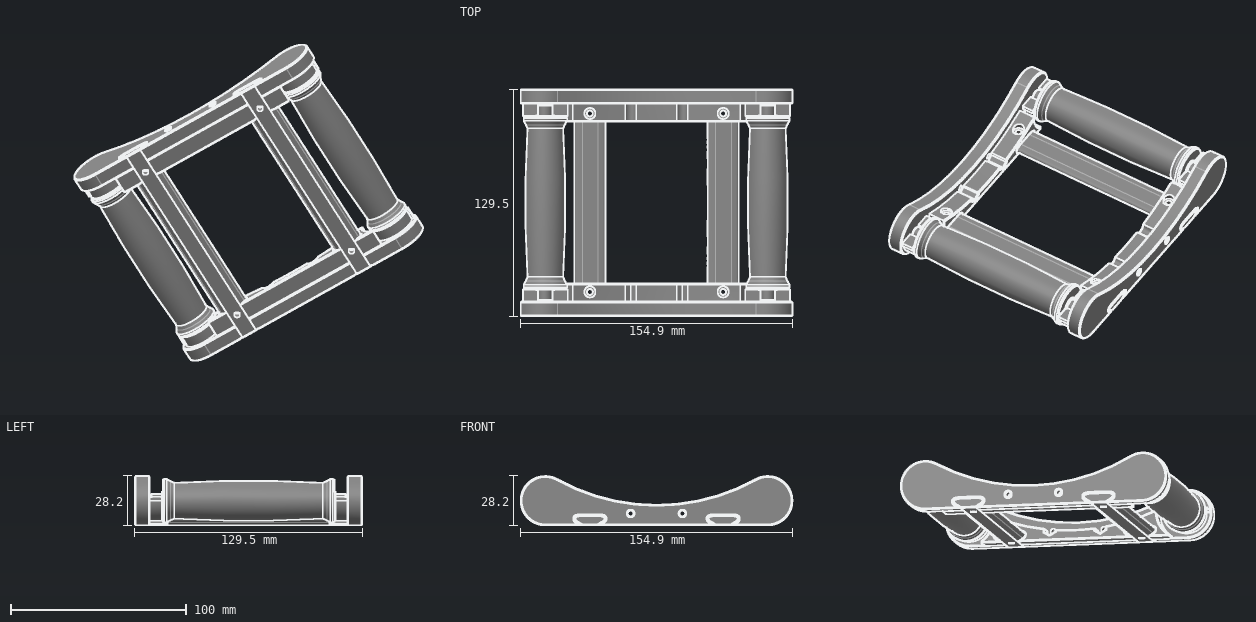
import cadquery as cq
import math

FRAME_LENGTH = 154.9
FRAME_WIDTH = 129.5
EDGE = 0.6
HALF_WIDTH = FRAME_WIDTH / 2

END_RADIUS = 14.1
RAIL_THICKNESS = 8.5
WAIST_HEIGHT = 11.8
RAIL_INSIDE = HALF_WIDTH - RAIL_THICKNESS
HANDLE_X = FRAME_LENGTH / 2 - END_RADIUS
HANDLE_Z = END_RADIUS

BACK_DROP = WAIST_HEIGHT - HANDLE_Z
BACK_RADIUS = (HANDLE_X**2 + BACK_DROP**2 - END_RADIUS**2) / (2 * (END_RADIUS - BACK_DROP))
BACK_CENTER_Z = WAIST_HEIGHT + BACK_RADIUS

LEDGE_DEPTH = 10.2
LEDGE_DROP = 6.2
LEDGE_RADIUS = BACK_RADIUS + LEDGE_DROP
LEDGE_INSIDE = RAIL_INSIDE - LEDGE_DEPTH
HANDLE_CLEARANCE_RADIUS = 15.6
LEDGE_HALF_LENGTH = HANDLE_X - 8.7

SUPPORT_INSIDE = 49.0
SUPPORT_DEPTH = RAIL_INSIDE - SUPPORT_INSIDE
SUPPORT_RADIUS = 11.5
SUPPORT_TOP_WIDTH = 25.4
SUPPORT_TOP_Z = 16.3
AXLE_SLOT_DIAMETER = 8.4
BOSS_SEAT_DIAMETER = 10.2
BOSS_SEAT_DEPTH = 0.8

CROSS_HOLE_X = 14.7
CROSS_HOLE_Z = 6.8
SCREW_DIAMETER = 3.3
HEAD_DIAMETER = 6.3

BAR_X = 38.0
BAR_HEIGHT = 5.9
BAR_FLAT_WIDTH = 9.0
BAR_FULL_WIDTH = 17.8
BAR_SIDE_Z = 3.5
BAR_TAPER_TOP_Z = 1.9
BAR_TAPER_INSET = 1.4
BAR_TAPER_SLOPE = 0.6
SCREW_Y = 50.8
HEAD_SEAT_Z = 9.3

AXLE_DIAMETER = 7.9
AXLE_HALF_LENGTH = 55.8

HANDLE_BOSS_DIAMETER = 10.0
HANDLE_BOSS_END = 49.5
HANDLE_END = SUPPORT_INSIDE
COLLAR_RADIUS = 12.4
COLLAR_FACE_RADIUS = 12.0
COLLAR_RIM_OUTSIDE = 48.0
COLLAR_RIM_INSIDE = 46.6
COLLAR_FOOT = 44.5
COLLAR_FOOT_RADIUS = 11.2
GRIP_END = 42.3
GRIP_END_RADIUS = 10.2
GRIP_MIDDLE_RADIUS = 11.5


def side_sketch(outside_y):
    """Sketch plane facing -Y, with X and Z as its axes."""
    return cq.Workplane("XZ", origin=(0, outside_y, 0))


def circle_height(center_z, radius, x):
    """Height of the lower half of a circle centred on X = 0."""
    return center_z - math.sqrt(radius**2 - x**2)


def rail_plate():
    touch_x = HANDLE_X * BACK_RADIUS / (BACK_RADIUS + END_RADIUS)
    touch_z = circle_height(BACK_CENTER_Z, BACK_RADIUS, touch_x)
    outline = (
        side_sketch(-RAIL_INSIDE)
        .moveTo(-HANDLE_X, 0)
        .lineTo(HANDLE_X, 0)
        .threePointArc((FRAME_LENGTH / 2, HANDLE_Z), (touch_x, touch_z))
        .threePointArc((0, WAIST_HEIGHT), (-touch_x, touch_z))
        .threePointArc((-FRAME_LENGTH / 2, HANDLE_Z), (-HANDLE_X, 0))
        .close()
    )
    return outline.extrude(RAIL_THICKNESS)


def ledge():
    half = LEDGE_HALF_LENGTH
    half_z = circle_height(BACK_CENTER_Z, LEDGE_RADIUS, half)
    body = (
        side_sketch(-LEDGE_INSIDE)
        .moveTo(-half, 0)
        .lineTo(half, 0)
        .lineTo(half, half_z)
        .threePointArc((0, WAIST_HEIGHT - LEDGE_DROP), (-half, half_z))
        .close()
        .extrude(LEDGE_DEPTH)
    )
    clearance = (
        side_sketch(-LEDGE_INSIDE)
        .pushPoints([(-HANDLE_X, HANDLE_Z), (HANDLE_X, HANDLE_Z)])
        .circle(HANDLE_CLEARANCE_RADIUS)
        .extrude(LEDGE_DEPTH)
    )
    return body.cut(clearance)


def cross_holes():
    return (
        side_sketch(-RAIL_INSIDE)
        .pushPoints([(-CROSS_HOLE_X, CROSS_HOLE_Z), (CROSS_HOLE_X, CROSS_HOLE_Z)])
        .circle(SCREW_DIAMETER / 2)
        .extrude(RAIL_THICKNESS)
    )


def head_seat(x, radius, hexagonal):
    """Closed outline of one head seat; a hexagon stands on a corner."""
    sketch = side_sketch(-LEDGE_INSIDE).center(x, CROSS_HOLE_Z)
    if not hexagonal:
        return sketch.circle(radius)
    corner_radius = radius / math.cos(math.pi / 6)
    corners = [math.radians(30 + 60 * i) for i in range(6)]
    return sketch.polyline([(corner_radius * math.cos(a), corner_radius * math.sin(a)) for a in corners]).close()


def cut_head_seats(body, hexagonal):
    """Cut both head seats along the ledge and flare them at its inside."""
    for x in (-CROSS_HOLE_X, CROSS_HOLE_X):
        body = body.cut(head_seat(x, HEAD_DIAMETER / 2, hexagonal).extrude(LEDGE_DEPTH))
        body = body.cut(head_seat(x, HEAD_DIAMETER / 2 + EDGE, hexagonal).extrude(EDGE, taper=45))
    return body


def open_slot(x, diameter, depth):
    """U-shaped slot around the axle, cut outwards from the inside of a support."""
    half = diameter / 2
    return (
        side_sketch(-SUPPORT_INSIDE)
        .center(x, HANDLE_Z)
        .moveTo(-half, END_RADIUS)
        .lineTo(-half, 0)
        .threePointArc((0, -half), (half, 0))
        .lineTo(half, END_RADIUS)
        .close()
        .extrude(depth)
    )


def axle_support(x):
    """Half disc with a wider flat top, open upwards for the axle and the boss of the handle."""
    disc = side_sketch(-SUPPORT_INSIDE).center(x, HANDLE_Z).circle(SUPPORT_RADIUS).extrude(SUPPORT_DEPTH)
    top_height = SUPPORT_TOP_Z - HANDLE_Z
    above = cq.Workplane("XY", origin=(x, 0, HANDLE_Z)).rect(FRAME_LENGTH, FRAME_WIDTH).extrude(END_RADIUS)
    top = (
        side_sketch(-SUPPORT_INSIDE)
        .center(x, HANDLE_Z + top_height / 2)
        .rect(SUPPORT_TOP_WIDTH, top_height)
        .extrude(SUPPORT_DEPTH)
    )
    body = disc.cut(above).union(top).faces(">Y").edges().chamfer(EDGE)
    body = body.cut(open_slot(x, AXLE_SLOT_DIAMETER, SUPPORT_DEPTH))
    return body.cut(open_slot(x, BOSS_SEAT_DIAMETER, BOSS_SEAT_DEPTH))


def bar_blank(x):
    """Full-length bar with flat top and bottom and rounded sides."""
    flat = BAR_FLAT_WIDTH / 2
    full = BAR_FULL_WIDTH / 2
    taper = full - BAR_TAPER_INSET
    return (
        side_sketch(HALF_WIDTH)
        .center(x, 0)
        .moveTo(-flat, 0)
        .lineTo(flat, 0)
        .lineTo(taper, BAR_TAPER_TOP_Z)
        .spline(
            [(full, BAR_SIDE_Z), (flat, BAR_HEIGHT)],
            tangents=[(1, BAR_TAPER_SLOPE), (-1, 0)],
            includeCurrent=True,
        )
        .lineTo(-flat, BAR_HEIGHT)
        .spline(
            [(-full, BAR_SIDE_Z), (-taper, BAR_TAPER_TOP_Z)],
            tangents=[(-1, 0), (1, -BAR_TAPER_SLOPE)],
            includeCurrent=True,
        )
        .close()
        .extrude(FRAME_WIDTH)
    )


def upright_holes(bottom_z, diameter):
    """Vertical cylinders at the two bar screws of the rail on the -Y side."""
    return (
        cq.Workplane("XY", origin=(0, 0, bottom_z))
        .pushPoints([(-BAR_X, -SCREW_Y), (BAR_X, -SCREW_Y)])
        .circle(diameter / 2)
        .extrude(END_RADIUS)
    )


def rail(hexagonal):
    """Rail on the -Y side."""
    inner = ledge()
    plate = rail_plate().faces(">Y").edges().chamfer(EDGE)
    for x in (-BAR_X, BAR_X):
        inner = inner.cut(bar_blank(x))
        plate = plate.cut(bar_blank(x))
    inner = cut_head_seats(inner.faces(">Y").edges().chamfer(EDGE), hexagonal)
    plate = plate.cut(cross_holes()).faces("<Y").edges().chamfer(EDGE)
    body = plate.union(inner)
    for x in (-HANDLE_X, HANDLE_X):
        body = body.union(axle_support(x))
    return body.cut(upright_holes(0, SCREW_DIAMETER)).cut(upright_holes(HEAD_SEAT_Z, HEAD_DIAMETER))


def bar(x):
    body = bar_blank(x).faces("<Y or >Y").edges().chamfer(EDGE)
    screw_holes = (
        cq.Workplane("XY")
        .pushPoints([(x, -SCREW_Y), (x, SCREW_Y)])
        .circle(SCREW_DIAMETER / 2)
        .extrude(BAR_HEIGHT)
    )
    return body.cut(screw_holes)


def axle(x):
    return (
        side_sketch(AXLE_HALF_LENGTH)
        .center(x, HANDLE_Z)
        .circle(AXLE_DIAMETER / 2)
        .extrude(2 * AXLE_HALF_LENGTH)
        .faces("<Y or >Y")
        .chamfer(EDGE)
    )


def handle(x):
    """Barrel-shaped grip with a collar and a small boss at each end, bored for the axle."""
    bore = AXLE_DIAMETER / 2
    boss = HANDLE_BOSS_DIAMETER / 2
    profile = (
        cq.Workplane("XY")
        .moveTo(bore, -HANDLE_BOSS_END)
        .lineTo(boss, -HANDLE_BOSS_END)
        .lineTo(boss, -HANDLE_END)
        .lineTo(COLLAR_FACE_RADIUS, -HANDLE_END)
        .lineTo(COLLAR_RADIUS, -COLLAR_RIM_OUTSIDE)
        .lineTo(COLLAR_RADIUS, -COLLAR_RIM_INSIDE)
        .lineTo(COLLAR_FOOT_RADIUS, -COLLAR_FOOT)
        .lineTo(GRIP_END_RADIUS, -GRIP_END)
        .threePointArc((GRIP_MIDDLE_RADIUS, 0), (GRIP_END_RADIUS, GRIP_END))
        .lineTo(COLLAR_FOOT_RADIUS, COLLAR_FOOT)
        .lineTo(COLLAR_RADIUS, COLLAR_RIM_INSIDE)
        .lineTo(COLLAR_RADIUS, COLLAR_RIM_OUTSIDE)
        .lineTo(COLLAR_FACE_RADIUS, HANDLE_END)
        .lineTo(boss, HANDLE_END)
        .lineTo(boss, HANDLE_BOSS_END)
        .lineTo(bore, HANDLE_BOSS_END)
        .close()
    )
    return profile.revolve(360, (0, 0, 0), (0, 1, 0)).translate((x, 0, HANDLE_Z))


near_rail = rail(hexagonal=True)
far_rail = rail(hexagonal=False).mirror("XZ")
bars = [bar(x).val() for x in (-BAR_X, BAR_X)]
axles = [axle(x).val() for x in (-HANDLE_X, HANDLE_X)]
handles = [handle(x).val() for x in (-HANDLE_X, HANDLE_X)]

result = cq.Compound.makeCompound([near_rail.val(), far_rail.val(), *bars, *axles, *handles])